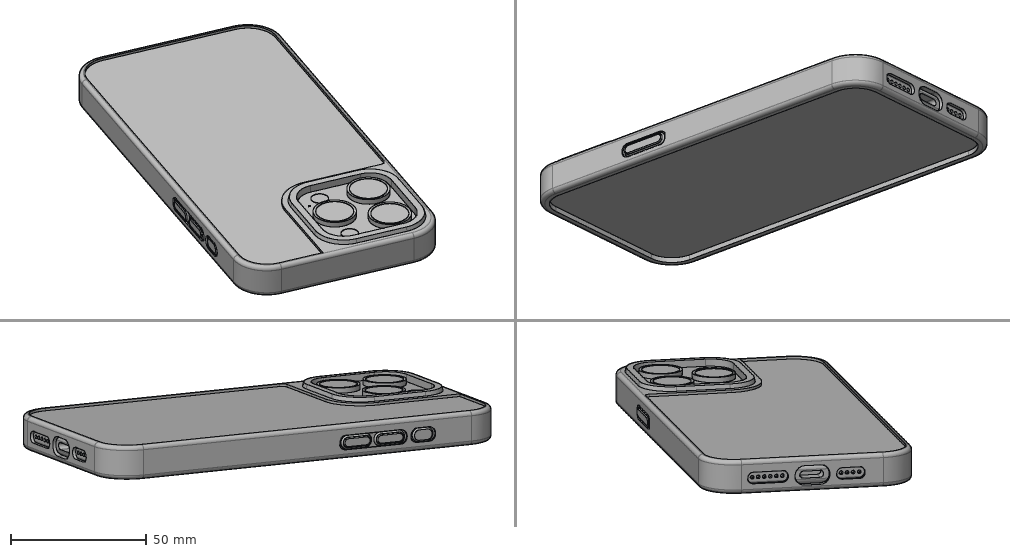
import cadquery as cq

CASE_LENGTH = 163.4
CASE_WIDTH = 80.4
CASE_HEIGHT = 12.7
CASE_CORNER = 13.4
CASE_EDGE = 1.6
WALL = 1.3

PHONE_LENGTH = CASE_LENGTH - 2 * WALL
PHONE_WIDTH = CASE_WIDTH - 2 * WALL
PHONE_CORNER = CASE_CORNER - WALL
PHONE_THICKNESS = 7.8
PHONE_EDGE = 2.1
PORT_Z = 5.9
PHONE_BOTTOM = PORT_Z - PHONE_THICKNESS / 2
PHONE_TOP = PORT_Z + PHONE_THICKNESS / 2

CAMERA_X = 56.0
CAMERA_Y = 15.2
RING_TOP = 14.4
RING_LENGTH = 45.1
RING_WIDTH = 44.1
RING_CORNER = 12.0
RING_DRAFT = 15
RING_WALL = 3.3
RING_SINK = 0.3
WINDOW_LENGTH = RING_LENGTH - 2 * RING_WALL
WINDOW_WIDTH = RING_WIDTH - 2 * RING_WALL
WINDOW_CORNER = RING_CORNER - RING_WALL
PLATEAU_GAP = 0.3
PLATEAU_TOP = 11.8

LENS_RADIUS = 8.0
LENS_HEIGHT = 2.0
GLASS_RADIUS = 7.0
GLASS_DEPTH = 0.2
LENS_OFFSET_X = 9.6
LENS_OFFSET_Y = 9.0
LENS_PLACES = [
    (CAMERA_X - LENS_OFFSET_X, CAMERA_Y + LENS_OFFSET_Y),
    (CAMERA_X + LENS_OFFSET_X, CAMERA_Y + LENS_OFFSET_Y),
    (CAMERA_X, CAMERA_Y - LENS_OFFSET_Y),
]
SENSOR_RADIUS = 3.3
SENSOR_OFFSET_X = 13.5
SENSOR_DEPTH = 0.2
MIC_X = CAMERA_X - 10.1
MIC_Y = CAMERA_Y - 14.7
MIC_RADIUS = 0.41
MIC_DEPTH = 0.8

PANEL_DEPTH = 1.0
PANEL_RIM = 2.1
PANEL_MARGIN = 2.3
PANEL_TIP = 2.0

FRONT_SIDE = -1
REAR_SIDE = 1
BUTTON_HEIGHT = 4.0
BUTTON_SKIRT_ANGLE = 45
BUTTON_SKIRT = 0.7
BUTTON_MARGIN_Z = 0.74
BUTTON_MARGIN_X = 1.5
BUTTON_PROUD = 0.41
MUTE_PROUD = 0.0
BUTTON_EDGE = 0.5
VOLUME_LENGTH = 11.5
VOLUME_DOWN_X = 20.6
VOLUME_UP_X = 34.3
MUTE_LENGTH = 7.4
MUTE_X = 48.2
POWER_LENGTH = 18.3
POWER_X = 23.9

SLOT_HEIGHT = 4.4
LONG_SLOT_LENGTH = 15.4
LONG_SLOT_Y = 16.8
LONG_SLOT_HOLES = 6
SHORT_SLOT_LENGTH = 10.8
SHORT_SLOT_Y = -14.5
SHORT_SLOT_HOLES = 4
PLUG_LENGTH = 13.2
PLUG_HEIGHT = 7.4
PORT_LENGTH = 9.0
PORT_HEIGHT = 2.6
PORT_DEPTH = 4.9
SPEAKER_PITCH = 2.3
SPEAKER_RADIUS = 0.7
SPEAKER_DEPTH = 1.6


def rounded_block(length, width, corner, bottom, top, x=0.0, y=0.0):
    """Upright block with rounded vertical corners, centred on (x, y)."""
    block = cq.Workplane("XY", origin=(x, y, bottom)).rect(length, width).extrude(top - bottom)
    return block.edges("|Z").fillet(corner)


def end_plane(x):
    """Plane at x with local x along +Y, its normal pointing inward from the -X end."""
    return cq.Workplane(cq.Plane(origin=(x, 0, PORT_Z), xDir=(0, 1, 0), normal=(1, 0, 0)))


def side_plane(x, distance, side):
    """Plane facing outward at the given distance from the centre, on the -Y or +Y side."""
    return cq.Workplane(cq.Plane(origin=(x, side * distance, PORT_Z), xDir=(1, 0, 0), normal=(0, side, 0)))


def phone_slab():
    """Plain rounded slab of the phone, which is also the cavity in the case."""
    slab = rounded_block(PHONE_LENGTH, PHONE_WIDTH, PHONE_CORNER, PHONE_BOTTOM, PHONE_TOP)
    return slab.faces("<Z or >Z").edges().fillet(PHONE_EDGE)


def camera_plateau():
    """Raised floor under the lenses, filling the camera window with a small clearance."""
    return rounded_block(
        WINDOW_LENGTH - 2 * PLATEAU_GAP,
        WINDOW_WIDTH - 2 * PLATEAU_GAP,
        WINDOW_CORNER - PLATEAU_GAP,
        PORT_Z,
        PLATEAU_TOP,
        CAMERA_X,
        CAMERA_Y,
    )


def speaker_holes(centre_y, count):
    first = centre_y - SPEAKER_PITCH * (count - 1) / 2
    places = [(first + SPEAKER_PITCH * i, 0) for i in range(count)]
    return end_plane(-PHONE_LENGTH / 2).pushPoints(places).circle(SPEAKER_RADIUS).extrude(SPEAKER_DEPTH)


def make_phone():
    phone = phone_slab().union(camera_plateau())
    plateau_top = cq.Workplane("XY", origin=(CAMERA_X, CAMERA_Y - LENS_OFFSET_Y, PLATEAU_TOP))
    sensors = plateau_top.pushPoints([(-SENSOR_OFFSET_X, 0), (SENSOR_OFFSET_X, 0)])
    phone = phone.cut(sensors.circle(SENSOR_RADIUS).extrude(-SENSOR_DEPTH))
    microphone = cq.Workplane("XY", origin=(MIC_X, MIC_Y, PLATEAU_TOP)).circle(MIC_RADIUS)
    phone = phone.cut(microphone.extrude(-MIC_DEPTH))
    port = end_plane(-PHONE_LENGTH / 2).slot2D(PORT_LENGTH, PORT_HEIGHT).extrude(PORT_DEPTH)
    phone = phone.cut(port)
    phone = phone.cut(speaker_holes(LONG_SLOT_Y, LONG_SLOT_HOLES))
    return phone.cut(speaker_holes(SHORT_SLOT_Y, SHORT_SLOT_HOLES))


def make_lens(x, y):
    """Lens barrel standing on the camera plateau, with its glass set just below the rim."""
    barrel = cq.Workplane("XY", origin=(x, y, PLATEAU_TOP)).circle(LENS_RADIUS).extrude(LENS_HEIGHT)
    return barrel.faces(">Z").workplane().circle(GLASS_RADIUS).cutBlind(-GLASS_DEPTH)


def case_block():
    block = rounded_block(CASE_LENGTH, CASE_WIDTH, CASE_CORNER, 0, CASE_HEIGHT)
    return block.faces("<Z or >Z").edges().fillet(CASE_EDGE)


def camera_ring():
    """Raised, slightly tapered rim around the camera window, still filled in."""
    bottom = CASE_HEIGHT - RING_SINK
    outline = cq.Sketch().rect(RING_LENGTH, RING_WIDTH).vertices().fillet(RING_CORNER)
    base = cq.Workplane("XY", origin=(CAMERA_X, CAMERA_Y, bottom)).placeSketch(outline)
    return base.extrude(RING_TOP - bottom, taper=RING_DRAFT)


def panel_recess():
    """Sunken back panel that leaves the rim and the land around the camera."""
    bottom = CASE_HEIGHT - PANEL_DEPTH
    panel = rounded_block(
        CASE_LENGTH - 2 * PANEL_RIM,
        CASE_WIDTH - 2 * PANEL_RIM,
        CASE_CORNER - PANEL_RIM,
        bottom,
        CASE_HEIGHT,
    )
    land_left = CAMERA_X - RING_LENGTH / 2 - PANEL_MARGIN
    land_front = CAMERA_Y - RING_WIDTH / 2 - PANEL_MARGIN
    land = (
        cq.Workplane("XY", origin=(0, 0, bottom))
        .moveTo(land_left, land_front)
        .lineTo(CASE_LENGTH / 2, land_front)
        .lineTo(CASE_LENGTH / 2, CASE_WIDTH / 2)
        .lineTo(land_left, CASE_WIDTH / 2)
        .close()
        .extrude(PANEL_DEPTH)
    )
    land = land.edges("|Z and <X and <Y").fillet(RING_CORNER + PANEL_MARGIN)
    panel = panel.cut(land)
    tip_y = CASE_WIDTH / 2 - PANEL_RIM
    tip = cq.selectors.NearestToPointSelector((land_left, tip_y, bottom + PANEL_DEPTH / 2))
    return panel.edges("|Z").edges(tip).fillet(PANEL_TIP)


def button_recess(x, length, side):
    recess = side_plane(x, CASE_WIDTH / 2, side)
    recess = recess.slot2D(length + 2 * BUTTON_MARGIN_X, BUTTON_HEIGHT + 2 * BUTTON_MARGIN_Z)
    return recess.extrude(-BUTTON_SKIRT)


def button(x, length, side, proud):
    """Pill-shaped button on a flared foot, rising from the floor of its recess."""
    floor = CASE_WIDTH / 2 - BUTTON_SKIRT
    foot = side_plane(x, floor, side)
    foot = foot.slot2D(length + 2 * BUTTON_SKIRT, BUTTON_HEIGHT + 2 * BUTTON_SKIRT)
    foot = foot.extrude(BUTTON_SKIRT, taper=BUTTON_SKIRT_ANGLE)
    pill = side_plane(x, floor, side).slot2D(length, BUTTON_HEIGHT).extrude(BUTTON_SKIRT + proud)
    outer_face = ">Y" if side == REAR_SIDE else "<Y"
    return pill.faces(outer_face).edges().chamfer(BUTTON_EDGE).union(foot)


def cut_end_openings(case):
    """Speaker slots and plug opening through the -X wall."""
    openings = [
        (LONG_SLOT_Y, LONG_SLOT_LENGTH, SLOT_HEIGHT),
        (SHORT_SLOT_Y, SHORT_SLOT_LENGTH, SLOT_HEIGHT),
        (0, PLUG_LENGTH, PLUG_HEIGHT),
    ]
    for y, length, height in openings:
        opening = end_plane(-CASE_LENGTH / 2).center(y, 0).slot2D(length, height)
        case = case.cut(opening.extrude(WALL + PHONE_EDGE))
    return case


def add_buttons(case):
    """Recesses in the long sides and the buttons moulded into them."""
    volume_x = (VOLUME_DOWN_X + VOLUME_UP_X) / 2
    volume_span = VOLUME_UP_X - VOLUME_DOWN_X + VOLUME_LENGTH
    recesses = [
        (volume_x, volume_span, FRONT_SIDE),
        (MUTE_X, MUTE_LENGTH, FRONT_SIDE),
        (POWER_X, POWER_LENGTH, REAR_SIDE),
    ]
    for x, length, side in recesses:
        case = case.cut(button_recess(x, length, side))

    buttons = [
        (VOLUME_DOWN_X, VOLUME_LENGTH, FRONT_SIDE, BUTTON_PROUD),
        (VOLUME_UP_X, VOLUME_LENGTH, FRONT_SIDE, BUTTON_PROUD),
        (MUTE_X, MUTE_LENGTH, FRONT_SIDE, MUTE_PROUD),
        (POWER_X, POWER_LENGTH, REAR_SIDE, BUTTON_PROUD),
    ]
    for x, length, side, proud in buttons:
        case = case.union(button(x, length, side, proud))
    return case


def screen_opening():
    """Opening in the case bottom, leaving a lip that holds the phone."""
    return rounded_block(
        PHONE_LENGTH - 2 * PHONE_EDGE,
        PHONE_WIDTH - 2 * PHONE_EDGE,
        PHONE_CORNER - PHONE_EDGE,
        0,
        PORT_Z,
    )


def camera_window():
    return rounded_block(WINDOW_LENGTH, WINDOW_WIDTH, WINDOW_CORNER, PORT_Z, RING_TOP, CAMERA_X, CAMERA_Y)


def make_case():
    case = case_block().cut(panel_recess()).union(camera_ring())
    case = case.cut(phone_slab()).cut(screen_opening()).cut(camera_window())
    return add_buttons(cut_end_openings(case))


case = make_case().solids().val()
phone = make_phone().solids().val()
lenses = [make_lens(x, y).solids().val() for x, y in LENS_PLACES]
result = cq.Compound.makeCompound([case, phone, *lenses])